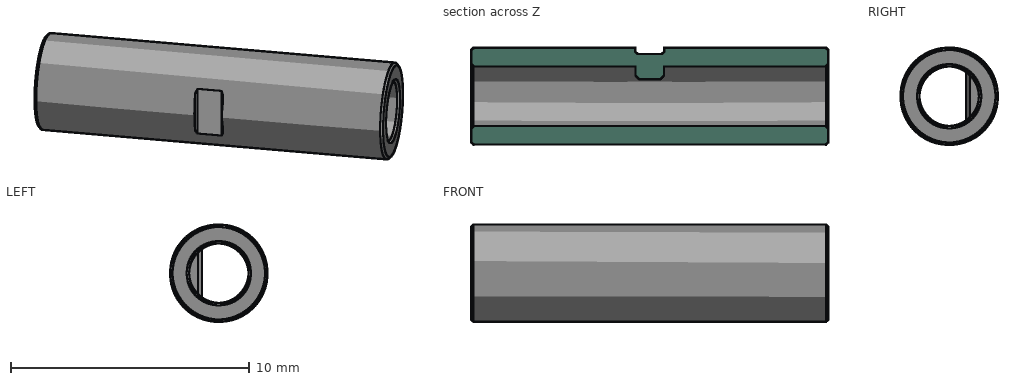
import cadquery as cq

length = 15.0
outer_radius = 2.048
bore_radius = 1.25
end_chamfer = 0.1

crimp_width = 1.2
notch_depth = 0.27
notch_chamfer = 0.09
stop_face_y = 0.7
stop_chamfer = 0.16


def make_tube():
    """Hollow cylinder with all four end edges chamfered."""
    tube = cq.Workplane("YZ").circle(outer_radius).circle(bore_radius).extrude(length / 2, both=True)
    return tube.faces("<X or >X").edges().chamfer(end_chamfer)


def crimp_block(near_y, far_y, chamfer):
    """Block between two Y levels, with chamfered edges along Z on its lower Y face."""
    block = cq.Workplane("XY").box(crimp_width, far_y - near_y, 2 * outer_radius)
    block = block.translate((0, (near_y + far_y) / 2, 0))
    return block.faces("<Y").edges("|Z").chamfer(chamfer)


notch_floor_y = outer_radius - notch_depth
wall_middle_radius = (outer_radius + bore_radius) / 2

wall_limit = cq.Workplane("YZ").circle(wall_middle_radius).extrude(length / 2, both=True)
stop = crimp_block(stop_face_y, notch_floor_y, stop_chamfer).intersect(wall_limit)
notch = crimp_block(notch_floor_y, 2 * outer_radius, notch_chamfer)

result = make_tube().union(stop).cut(notch)